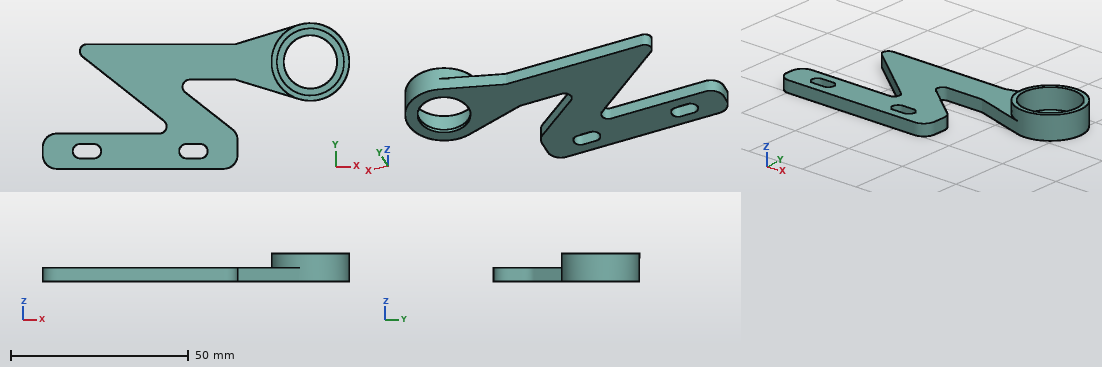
import cadquery as cq
import math

length, depth = 86.5, 41.2
plate_thickness = 4.0
ring_height = 2 * plate_thickness
ring_radius = 11.0
pocket_diameter = 18.95
bore_diameter = 15.0
ring_floor = 1.0

foot_length = 55.0
bar_width = 10.0
foot_radius = 4.0
small_radius = 2.0
arm_tip_x = 6.75
left_notch_x = 38.7
right_notch_x = 35.7
neck_x = 54.3

slot_length, slot_width = 8.0, 4.0
slot_spacing = 30.0

ring_x = length - ring_radius
ring_y = depth - ring_radius
arm_top = ring_y + bar_width / 2
arm_bottom = ring_y - bar_width / 2


def make_z_plate():
    """Foot, diagonal and arm as one plate with rounded corners."""
    plate = (
        cq.Workplane("XY")
        .polyline([
            (0, 0),
            (foot_length, 0),
            (foot_length, bar_width),
            (right_notch_x, arm_bottom),
            (neck_x, arm_bottom),
            (neck_x, arm_top),
            (arm_tip_x, arm_top),
            (left_notch_x, bar_width),
            (0, bar_width),
        ])
        .close()
        .extrude(plate_thickness)
    )
    foot_corners = [(0, 0), (foot_length, 0), (foot_length, bar_width), (0, bar_width)]
    sharp_corners = [(arm_tip_x, arm_top), (left_notch_x, bar_width), (right_notch_x, arm_bottom)]
    for corners, radius in ((foot_corners, foot_radius), (sharp_corners, small_radius)):
        for x, y in corners:
            edge = cq.selectors.NearestToPointSelector((x, y, plate_thickness / 2))
            plate = plate.edges(edge).fillet(radius)
    return plate


def make_neck():
    """Flare from the arm whose sides run tangent to the ring."""
    run, rise = ring_x - neck_x, bar_width / 2
    flare_angle = math.asin(ring_radius / math.hypot(run, rise)) - math.atan2(rise, run)
    tangent_x = ring_x - ring_radius * math.sin(flare_angle)
    tangent_rise = ring_radius * math.cos(flare_angle)
    return (
        cq.Workplane("XY")
        .polyline([
            (neck_x, arm_bottom),
            (tangent_x, ring_y - tangent_rise),
            (ring_x, ring_y),
            (tangent_x, ring_y + tangent_rise),
            (neck_x, arm_top),
        ])
        .close()
        .extrude(plate_thickness)
    )


def cylinder_at_ring(radius, height, bottom=0):
    return cq.Workplane("XY", origin=(ring_x, ring_y, bottom)).circle(radius).extrude(height)


def make_slots():
    """Two mounting slots, centred on the foot."""
    return (
        cq.Workplane("XY", origin=(foot_length / 2, bar_width / 2, 0))
        .pushPoints([(-slot_spacing / 2, 0), (slot_spacing / 2, 0)])
        .slot2D(slot_length, slot_width)
        .extrude(plate_thickness)
    )


body = make_z_plate().union(make_neck()).union(cylinder_at_ring(ring_radius, ring_height))
bore = cylinder_at_ring(bore_diameter / 2, ring_height)
pocket = cylinder_at_ring(pocket_diameter / 2, ring_height - ring_floor, ring_floor)
result = body.cut(make_slots()).cut(bore).cut(pocket)